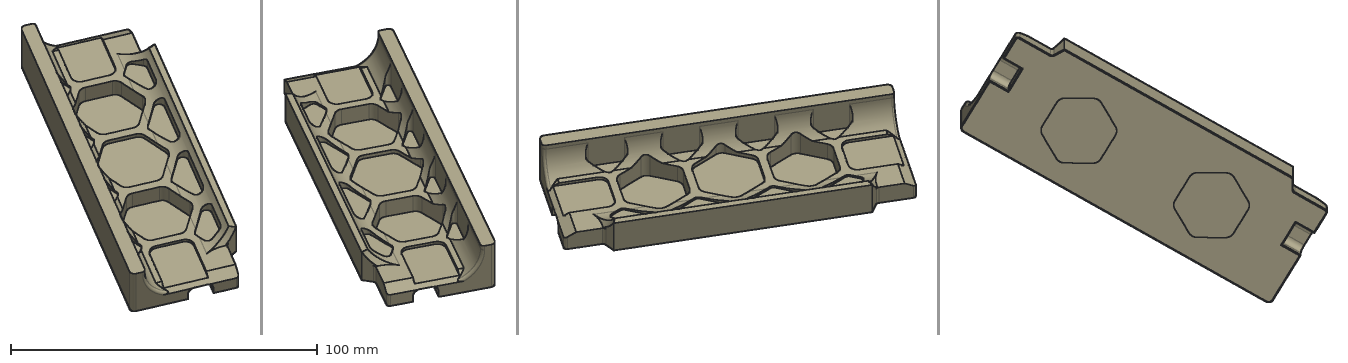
import cadquery as cq
import math

length = 117.9
depth = 41.1
wall_height = 18.0
plate_depth = 37.1
plate_top = 7.1
mid_x = length / 2
bottom_chamfer = 0.3

wall_thickness = 5.1
wall_corner_radius = 3.4 / 2
scoop_radius = 11.8
scoop_center_z = 16.5
scoop_end_radius = 1.1

lip_top = 12.0
lip_start_y = 29.6
lip_scoop_radius = 11.1
lip_end_x = 15.7
lip_end_angle = math.radians(60)
lip_end_chamfer = 2.1
lip_root_radius = 1.2

bevel_length = 4.0
bevel_drop = 2.1
plate_corner_radius = 1.1

notch_width = 8.7
notch_y = 23.9
notch_depth = 7.1
notch_radius = 4.6 / 2
notch_height = plate_top - bevel_drop

hex_width = 22.2
hex_pitch = 25.1
hex_y = 19.6
hex_radius = 3.1
window_thickness = 0.6
badge_floor = 5.5

side_pocket_floor = 6.4
front_pocket_radius = 1.0
rear_pocket_radius = 1.9
lip_end_margin = 5.0

pad_length = 19.9
pad_front_y = 11.9
pad_back_y = 27.1
pad_floor = 6.0

hex_corner = hex_width / math.sqrt(3)
row_pitch = hex_pitch * math.sin(math.radians(60))
window_places = [mid_x - hex_pitch, mid_x + hex_pitch]
front_tip_y = hex_y - row_pitch + hex_corner
rear_tip_y = hex_y + row_pitch - hex_corner
hex_side_run = math.sqrt(3)
lip_end_run = 1 / math.tan(lip_end_angle)


def at_both_ends(shape):
    """The shape at the -X end together with its mirror image at the +X end."""
    return shape.union(shape.mirror("YZ", (mid_x, 0, 0)))


def make_pocket(points, floor_z, corner_radius):
    """Cutter with rounded corners, open upward from its floor."""
    pocket = cq.Workplane("XY").workplane(offset=floor_z).polyline(points).close()
    return pocket.extrude(wall_height - floor_z).edges("|Z").fillet(corner_radius)


def make_open_space():
    """Space above the plate and behind the front wall, bounded by the scoop and the end bevels."""
    bevel_foot = plate_top - bevel_drop
    above_plate = (
        cq.Workplane("XZ")
        .moveTo(0, wall_height)
        .lineTo(0, bevel_foot)
        .lineTo(bevel_length, plate_top)
        .lineTo(length - bevel_length, plate_top)
        .lineTo(length, bevel_foot)
        .lineTo(length, wall_height)
        .close()
        .extrude(-depth)
    )
    scoop_center_y = wall_thickness + scoop_radius
    scoop_bottom_z = scoop_center_z - scoop_radius
    arc_reach = scoop_radius * math.cos(math.radians(45))
    behind_wall = (
        cq.Workplane("YZ")
        .moveTo(wall_thickness, wall_height)
        .lineTo(wall_thickness, scoop_center_z)
        .threePointArc(
            (scoop_center_y - arc_reach, scoop_center_z - arc_reach),
            (scoop_center_y, scoop_bottom_z),
        )
        .lineTo(depth, scoop_bottom_z)
        .lineTo(depth, wall_height)
        .close()
        .extrude(length)
    )
    return above_plate.intersect(behind_wall)


def make_base():
    """Plate with bevelled ends and the front wall."""
    base = cq.Workplane("XY").box(length, plate_depth, wall_height, centered=False)
    base = base.cut(make_open_space())
    base = base.edges("|Z and <Y").fillet(wall_corner_radius)
    base = base.edges("|Z and >Y").fillet(plate_corner_radius)
    return base.faces("<X or >X").edges("%CIRCLE").fillet(scoop_end_radius)


def make_lip():
    """Rear lip with slanted ends, chamfered where they meet its concave face."""
    scoop_z = plate_top + lip_scoop_radius
    rim_angle = math.acos((scoop_z - lip_top) / lip_scoop_radius)

    def scoop_point(angle):
        return lip_start_y + lip_scoop_radius * math.sin(angle), scoop_z - lip_scoop_radius * math.cos(angle)

    profile = (
        cq.Workplane("YZ")
        .moveTo(lip_start_y, 0)
        .lineTo(lip_start_y, plate_top)
        .threePointArc(scoop_point(rim_angle / 2), scoop_point(rim_angle))
        .lineTo(depth, lip_top)
        .lineTo(depth, 0)
        .close()
        .extrude(length)
    )
    front_end_x = lip_end_x - (depth - lip_start_y) * lip_end_run
    plan = (
        cq.Workplane("XY")
        .moveTo(front_end_x, lip_start_y)
        .lineTo(length - front_end_x, lip_start_y)
        .lineTo(length - lip_end_x, depth)
        .lineTo(lip_end_x, depth)
        .close()
        .extrude(lip_top)
    )
    return profile.intersect(plan).edges("%ELLIPSE").chamfer(lip_end_chamfer)


def round_lip_roots(body):
    """Fillet the upright inside corners between the lip ends and the plate's back face."""
    root_x = lip_end_x - (depth - plate_depth) * lip_end_run
    for x in (root_x, length - root_x):
        corner = cq.selectors.NearestToPointSelector((x, plate_depth, plate_top / 2))
        body = body.edges("|Z").edges(corner).fillet(lip_root_radius)
    return body


def make_pad():
    """Shallow recess at the -X end, open to the end bevel."""
    pad = cq.Workplane("XY").box(
        pad_length, pad_back_y - pad_front_y, wall_height - pad_floor, centered=False
    )
    pad = pad.edges("|Z and >X").fillet(hex_radius)
    return pad.translate((0, pad_front_y, pad_floor))


def make_notch():
    """Arched notch under the -X end."""
    notch = cq.Workplane("XY").box(notch_depth, notch_width, notch_height, centered=(False, True, False))
    return notch.edges("|X and >Z").fillet(notch_radius).translate((0, notch_y, 0))


def make_hexagon(center_x, floor_z):
    """Full hexagon cutter of the middle row."""
    corner_angles = [math.radians(30 + 60 * i) for i in range(6)]
    points = [(center_x + hex_corner * math.cos(a), hex_y + hex_corner * math.sin(a)) for a in corner_angles]
    return make_pocket(points, floor_z, hex_radius)


def make_front_pocket(center_x):
    """Tip of a front-row hexagon, cut off by the front wall."""
    half_width = (front_tip_y - wall_thickness) * hex_side_run
    points = [
        (center_x, front_tip_y),
        (center_x - half_width, wall_thickness),
        (center_x + half_width, wall_thickness),
    ]
    return make_pocket(points, side_pocket_floor, front_pocket_radius)


def make_rear_pocket(center_x):
    """Tip of a rear-row hexagon, cut off in line with the plate's back face."""
    half_width = (plate_depth - rear_tip_y) * hex_side_run
    points = [
        (center_x, rear_tip_y),
        (center_x - half_width, plate_depth),
        (center_x + half_width, plate_depth),
    ]
    return make_pocket(points, side_pocket_floor, rear_pocket_radius)


def make_rear_end_pocket(center_x):
    """Rear pocket at the -X end, also cut off by a side parallel to the lip end."""
    half_width = (plate_depth - rear_tip_y) * hex_side_run
    lip_end_at_back = lip_end_x - (depth - plate_depth) * lip_end_run
    side_back_x = lip_end_at_back + lip_end_margin / math.sin(lip_end_angle)
    side_reach = (half_width - center_x + side_back_x) / (hex_side_run + lip_end_run)
    points = [
        (center_x, rear_tip_y),
        (side_back_x - side_reach * lip_end_run, plate_depth - side_reach),
        (side_back_x, plate_depth),
        (center_x + half_width, plate_depth),
    ]
    return make_pocket(points, side_pocket_floor, rear_pocket_radius)


def make_housing():
    """Plate, front wall and rear lip in one piece, with all pockets and notches."""
    housing = make_base().cut(at_both_ends(make_pad()))
    housing = round_lip_roots(housing.union(make_lip()))
    housing = housing.cut(at_both_ends(make_notch()))
    housing = housing.faces("<Z").chamfer(bottom_chamfer)
    housing = housing.cut(make_hexagon(mid_x, badge_floor))
    for x in window_places:
        housing = housing.cut(make_hexagon(x, 0))
    for offset in (0.5, 1.5):
        housing = housing.cut(at_both_ends(make_front_pocket(mid_x - offset * hex_pitch)))
    housing = housing.cut(at_both_ends(make_rear_pocket(mid_x - 0.5 * hex_pitch)))
    return housing.cut(at_both_ends(make_rear_end_pocket(mid_x - 1.5 * hex_pitch)))


def make_window(center_x):
    """Thin hexagonal plate that closes the bottom of a through hexagon."""
    plate = cq.Workplane("XY").box(length, depth, window_thickness, centered=False)
    return plate.intersect(make_hexagon(center_x, 0))


housing = make_housing()
windows = [make_window(x) for x in window_places]

result = cq.Compound.makeCompound([housing.val(), *[window.val() for window in windows]])